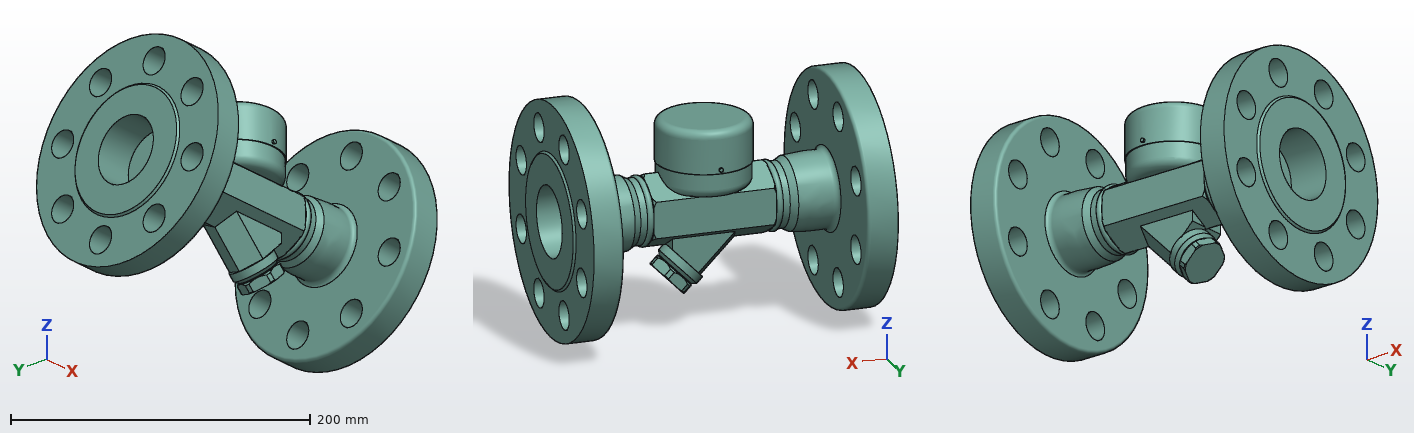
import cadquery as cq
import math

overall_length = 220.0
half_length = overall_length / 2

hexagon_sides = 6

flange_dia = 165.0
flange_thickness = 21.5
flange_edge_fillet = 2.5
raised_face_height = 1.5
raised_face_dia = 92.2
raised_face_root_dia = 95.0
bolt_circle_dia = 127.0
bolt_hole_dia = 20.0
bolt_count = 8
bore_dia = 50.0
bore_depth = 29.7

hub_fillet_length = 4.0
hub_fillet_rise = 2.9
hub_radius = 26.8
hub_mid_radius = 26.8
hub_small_radius = 25.7
hub_mid_x = 69.5
hub_small_x = 58.3
neck_dia = 46.0
neck_outer_x = 53.2
neck_inner_x = 48.5
bead_radius = 24.5

body_half_length = 43.8
body_corner_dia = 51.7
body_chamfer = 1.8

cap_dia = 66.5
cap_top_z = 61.5
cap_bottom_z = 31.5
cap_fillet = 5.7
bowl_dia = 65.0
bowl_bottom_z = 13.9
bowl_fillet = 6.2
pin_dia = 2.9
pin_z = 34.5
pin_projection = 1.3

branch_axis_x = -24.0
branch_half_width = 15.2
branch_keel = 16.7
branch_keel_edge = 7.0
branch_top = 44.0
branch_length = 54.1
branch_wall_x = 27.7

collar_dia = 34.0
plug_neck_dia = 29.0
collar_end = 62.7
head_start = 63.4
head_end = 71.0
head_across_flats = 30.0
head_corner_dia = 32.8
head_inner_chamfer = 1.3
head_outer_chamfer = 0.7

flange_face_x = half_length - raised_face_height
flange_back_x = flange_face_x - flange_thickness
flange_radius = flange_dia / 2
neck_radius = neck_dia / 2


def make_end():
    """Flange, hub, neck and weld bead on the +X side, turned about the X axis."""
    hub_end_x = flange_back_x - hub_fillet_length
    bead_mid_x = (neck_inner_x + body_half_length) / 2
    profile = (
        cq.Workplane("XY")
        .moveTo(body_half_length, 0)
        .lineTo(body_half_length, neck_radius)
        .threePointArc((bead_mid_x, bead_radius), (neck_inner_x, neck_radius))
        .lineTo(neck_outer_x, neck_radius)
        .lineTo(hub_small_x, hub_small_radius)
        .threePointArc((hub_mid_x, hub_mid_radius), (hub_end_x, hub_radius))
        .tangentArcPoint((flange_back_x, hub_radius + hub_fillet_rise), relative=False)
        .lineTo(flange_back_x, flange_radius - flange_edge_fillet)
        .radiusArc((flange_back_x + flange_edge_fillet, flange_radius), flange_edge_fillet)
        .lineTo(flange_face_x, flange_radius)
        .lineTo(flange_face_x, raised_face_root_dia / 2)
        .lineTo(half_length, raised_face_dia / 2)
        .lineTo(half_length, 0)
        .close()
    )
    end = profile.revolve(360, (0, 0, 0), (1, 0, 0))
    bolt_holes = (
        cq.Workplane("YZ", origin=(flange_back_x, 0, 0))
        .polarArray(bolt_circle_dia / 2, 180 / bolt_count, 360, bolt_count)
        .circle(bolt_hole_dia / 2)
        .extrude(half_length - flange_back_x)
    )
    bore = (
        cq.Workplane("YZ", origin=(half_length - bore_depth, 0, 0))
        .circle(bore_dia / 2)
        .extrude(bore_depth)
    )
    return end.cut(bolt_holes).cut(bore)


def make_body():
    """Hexagonal bar with a corner up, its end corners turned to a cone."""
    bar = (
        cq.Workplane("YZ")
        .polygon(hexagon_sides, body_corner_dia)
        .extrude(body_half_length, both=True)
        .rotate((0, 0, 0), (1, 0, 0), 90)
    )
    blank = (
        cq.Workplane("YZ")
        .circle(body_corner_dia / 2)
        .extrude(body_half_length, both=True)
        .edges("%CIRCLE")
        .chamfer(body_chamfer)
    )
    return bar.intersect(blank)


def make_chamber():
    """Bowl sunk into the body, the cap on it and a small pin on each side of the cap."""
    bowl = (
        cq.Workplane("XY", origin=(0, 0, bowl_bottom_z))
        .circle(bowl_dia / 2)
        .extrude(cap_bottom_z - bowl_bottom_z)
        .faces("<Z")
        .edges()
        .fillet(bowl_fillet)
    )
    cap = (
        cq.Workplane("XY", origin=(0, 0, cap_bottom_z))
        .circle(cap_dia / 2)
        .extrude(cap_top_z - cap_bottom_z)
        .faces(">Z")
        .edges()
        .fillet(cap_fillet)
    )
    pins = (
        cq.Workplane("XZ", origin=(0, 0, pin_z))
        .circle(pin_dia / 2)
        .extrude(cap_dia / 2 + pin_projection, both=True)
    )
    return bowl.union(cap).union(pins)


def branch_plane(distance):
    """Plane square to the branch axis; local X is +Y, local Y points toward +X and +Z."""
    step = distance * math.sqrt(0.5)
    return cq.Plane(origin=(branch_axis_x + step, 0, -step), xDir=(0, 1, 0), normal=(1, 0, -1))


def make_branch():
    """Keel-bottomed block running down from the body, cut off by an upright wall."""
    block = (
        cq.Workplane(branch_plane(0))
        .moveTo(0, -branch_keel)
        .lineTo(branch_half_width, -branch_keel_edge)
        .lineTo(branch_half_width, branch_top)
        .lineTo(-branch_half_width, branch_top)
        .lineTo(-branch_half_width, -branch_keel_edge)
        .close()
        .extrude(branch_length)
    )
    envelope = (
        cq.Workplane("XY")
        .box(overall_length, 2 * branch_half_width, overall_length)
        .translate((branch_wall_x - half_length, 0, -half_length))
    )
    return block.intersect(envelope)


def make_plug():
    """Chamfered collar, short neck and hexagonal head at the end of the branch."""
    along_branch = cq.Vector(1, 0, -1)
    outer_end = cq.selectors.DirectionMinMaxSelector(along_branch)
    inner_end = cq.selectors.DirectionMinMaxSelector(along_branch, False)
    neck = (
        cq.Workplane(branch_plane(branch_length))
        .circle(plug_neck_dia / 2)
        .extrude(head_start - branch_length)
    )
    collar = (
        cq.Workplane(branch_plane(branch_length))
        .circle(collar_dia / 2)
        .extrude(collar_end - branch_length)
        .faces(outer_end)
        .edges()
        .chamfer((collar_dia - plug_neck_dia) / 2)
    )
    head_length = head_end - head_start
    head_hexagon = (
        cq.Workplane(branch_plane(head_start))
        .polygon(hexagon_sides, head_across_flats, circumscribed=True)
        .extrude(head_length)
    )
    head_blank = (
        cq.Workplane(branch_plane(head_start))
        .circle(head_corner_dia / 2)
        .extrude(head_length)
        .faces(inner_end)
        .edges()
        .chamfer(head_inner_chamfer)
        .faces(outer_end)
        .edges()
        .chamfer(head_outer_chamfer)
    )
    return neck.union(collar).union(head_hexagon.intersect(head_blank))


end = make_end()
result = (
    make_body()
    .union(make_chamber())
    .union(make_branch())
    .union(make_plug())
    .union(end)
    .union(end.mirror("YZ"))
)